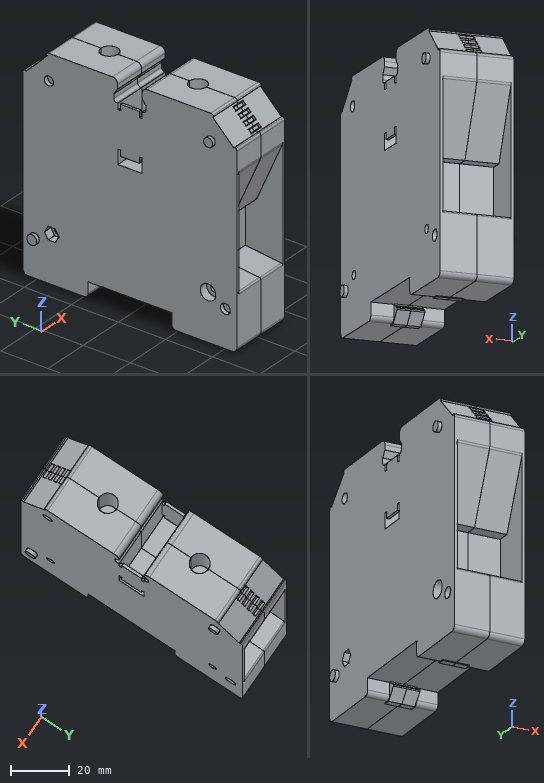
import cadquery as cq
import math


LENGTH = 91.0
HALF_LENGTH = LENGTH / 2
HEIGHT = 90.45
HALF_WIDTH = 13.6
FOOT_Z = 0.4
FOOT_RADIUS = 2.0

SHOULDER_LEG = 11.6
LIP_RISE = 0.7
LIP_LEG = SHOULDER_LEG - LIP_RISE * math.sqrt(2)
LIP_END = 9.7
LIP_RADIUS = 1.5

SLOT_COUNT = 4
SLOT_PITCH = 3.1
SLOT_MOUTH = 1.8
SLOT_FLOOR = 1.3
SLOT_LENGTH = 5.55
SLOT_DEPTH = 1.1

NECK_HALF = 5.2
NECK_BOTTOM_Z = 86.4
NECK_RADIUS = 2.2
BULB_HALF = 6.8
BULB_TOP_Z = 84.0
BULB_RADIUS = 1.3
GROOVE_Z = 80.9

SKIN = 1.1
WELL_HALF = 5.1
WELL_FLOOR_Z = 57.0
TONGUE_HALF = 4.0
TONGUE_BOTTOM_Z = 60.5
RELIEF_HEIGHT = 2.5

RAIL_HALF = 17.7
RAIL_Z = 6.7
RAIL_CORNER_RADIUS = 1.8
CLIP_WIDTH = 10.2
CLIP_NECK_Y = 17.0
CLIP_NECK_Z = 6.2
CLIP_TIP_Y = 14.9
CLIP_TIP_Z = 4.8
CLIP_TIP_BOTTOM_Z = 4.3
CLIP_SHOULDER_Y = 15.4
CLIP_SHOULDER_Z = 5.4
CLIP_TOE_Y = 18.5
CLIP_HEEL_Y = 21.0

ENTRY_HALF_WIDTH = 12.5
ENTRY_DEPTH = 15.9
ENTRY_ROOF_DEPTH = 11.1
ENTRY_TOP_Z = 70.5
ENTRY_BACK_TOP_Z = 45.1
ENTRY_BACK_BOTTOM_Z = 25.4
ENTRY_BOTTOM_Z = 23.6
ENTRY_TOP_RADIUS = 2.2
ENTRY_BOTTOM_RADIUS = 0.6

SHAFT_Y = 18.8
SHAFT_RADIUS = 3.55
SHAFT_DEPTH = 18.2

BOLT_Y = 33.2
BOLT_Z = 20.0
BOLT_RADIUS = 1.55
BOLT_HEAD_RADIUS = 3.3
NUT_ACROSS_FLATS = 5.3
BOLT_RECESS_DEPTH = 3.6

UPPER_PEG_RADIUS = 1.9
LOWER_PEG_RADIUS = 2.1
PEG_LENGTH = 1.5
SOCKET_DEPTH = 1.8
UPPER_PEG_Y = 34.4
UPPER_PEG_Z = 79.6
LOWER_PEG_Y = 40.6
LOWER_PEG_Z = 16.0
LEFT_PEGS = [
    (UPPER_PEG_RADIUS, -UPPER_PEG_Y, UPPER_PEG_Z),
    (LOWER_PEG_RADIUS, LOWER_PEG_Y, LOWER_PEG_Z),
]
RIGHT_PEGS = [
    (UPPER_PEG_RADIUS, UPPER_PEG_Y, UPPER_PEG_Z),
    (LOWER_PEG_RADIUS, -LOWER_PEG_Y, LOWER_PEG_Z),
]


def block(x_range, y_range, z_range):
    """Box between the given limits."""
    (x0, x1), (y0, y1), (z0, z1) = x_range, y_range, z_range
    return cq.Workplane("XY").box(x1 - x0, y1 - y0, z1 - z0, centered=False).translate((x0, y0, z0))


def across(outline, half_width):
    """Close an outline and extrude it to the same distance on both sides of X = 0."""
    return outline.close().extrude(half_width, both=True)


def cylinder_x(radius, x_start, length, y, z):
    """Cylinder along +X."""
    return cq.Workplane("YZ", origin=(x_start, y, z)).circle(radius).extrude(length)


def both_ends(solid):
    """The solid together with its mirror image about Y = 0."""
    return solid.union(solid.mirror("XZ"))


def cross_edges(y_limit, z):
    """Selector for the edges along X at height z whose middle is within y_limit of Y = 0."""
    near = 0.1
    return cq.selectors.BoxSelector(
        (-near, -y_limit - near, z - near), (near, y_limit + near, z + near)
    )


def outer_block():
    """Full-width slab with rounded feet and bevelled upper corners, bevelled to the lip tops."""
    outline = (
        cq.Workplane("YZ")
        .moveTo(-HALF_LENGTH, FOOT_Z)
        .lineTo(HALF_LENGTH, FOOT_Z)
        .lineTo(HALF_LENGTH, HEIGHT - LIP_LEG)
        .lineTo(HALF_LENGTH - LIP_LEG, HEIGHT)
        .lineTo(LIP_LEG - HALF_LENGTH, HEIGHT)
        .lineTo(-HALF_LENGTH, HEIGHT - LIP_LEG)
    )
    solid = across(outline, HALF_WIDTH)
    for y_limit, z, radius in (
        (HALF_LENGTH, FOOT_Z, FOOT_RADIUS),
        (HALF_LENGTH, HEIGHT - LIP_LEG, LIP_RADIUS),
        (HALF_LENGTH - LIP_LEG, HEIGHT, LIP_RADIUS),
    ):
        solid = solid.edges("|X").edges(cross_edges(y_limit, z)).fillet(radius)
    return solid


def shoulder_section():
    """Workplane across the +Y shoulder: local x up the slope, local y into the block."""
    middle = SHOULDER_LEG / 2
    origin = (0, HALF_LENGTH - middle, HEIGHT - middle)
    return cq.Workplane(cq.Plane(origin=origin, xDir=(0, -1, 1), normal=(1, 0, 0)))


def shoulder_recesses():
    """Material removed between the lips of both shoulders, with the slots below it."""
    face_length = (2 * LIP_END - LIP_LEG) * math.sqrt(2)
    clearance = 2 * LIP_RISE
    removed = shoulder_section().center(0, -clearance / 2).rect(face_length, clearance)
    removed = removed.extrude(HALF_WIDTH, both=True)
    for index in range(SLOT_COUNT):
        middle = (index - (SLOT_COUNT - 1) / 2) * SLOT_PITCH
        slot = (
            shoulder_section()
            .moveTo(middle - SLOT_MOUTH / 2, 0)
            .lineTo(middle + SLOT_MOUTH / 2, 0)
            .lineTo(middle + SLOT_FLOOR / 2, SLOT_DEPTH)
            .lineTo(middle - SLOT_FLOOR / 2, SLOT_DEPTH)
        )
        removed = removed.union(across(slot, SLOT_LENGTH / 2))
    return both_ends(removed)


def top_groove():
    """Necked groove across the top, wider at its bulb-shaped base."""
    slope = math.sqrt(0.5)
    neck_bend = NECK_RADIUS * (1 - slope)
    bulb_bend = BULB_RADIUS * (1 - slope)
    half_outline = (
        cq.Workplane("YZ")
        .moveTo(0, HEIGHT)
        .lineTo(NECK_HALF + NECK_RADIUS, HEIGHT)
        .threePointArc((NECK_HALF + neck_bend, HEIGHT - neck_bend), (NECK_HALF, HEIGHT - NECK_RADIUS))
        .lineTo(NECK_HALF, NECK_BOTTOM_Z)
        .lineTo(BULB_HALF, BULB_TOP_Z)
        .lineTo(BULB_HALF, GROOVE_Z + BULB_RADIUS)
        .threePointArc(
            (BULB_HALF - bulb_bend, GROOVE_Z + bulb_bend), (BULB_HALF - BULB_RADIUS, GROOVE_Z)
        )
        .lineTo(0, GROOVE_Z)
    )
    return both_ends(across(half_outline, HALF_WIDTH))


def well():
    """Well under the groove, with the side openings that leave a tongue in each skin."""
    full_x = (-HALF_WIDTH, HALF_WIDTH)
    inner_x = (SKIN - HALF_WIDTH, HALF_WIDTH - SKIN)
    full_y = (-WELL_HALF, WELL_HALF)
    relief_y = (TONGUE_HALF, WELL_HALF)
    chamber = block(inner_x, full_y, (WELL_FLOOR_Z, GROOVE_Z))
    window = block(full_x, full_y, (WELL_FLOOR_Z, TONGUE_BOTTOM_Z))
    upper_relief = block(full_x, relief_y, (GROOVE_Z - RELIEF_HEIGHT, GROOVE_Z))
    lower_relief = block(full_x, relief_y, (TONGUE_BOTTOM_Z, TONGUE_BOTTOM_Z + RELIEF_HEIGHT))
    return chamber.union(window).union(both_ends(upper_relief.union(lower_relief)))


def rail_clips():
    """Two hooks in the middle of the width that grip the rail."""
    hook = (
        cq.Workplane("YZ")
        .moveTo(CLIP_HEEL_Y, 0)
        .lineTo(CLIP_TOE_Y, 0)
        .lineTo(CLIP_TIP_Y, CLIP_TIP_BOTTOM_Z)
        .lineTo(CLIP_TIP_Y, CLIP_TIP_Z)
        .lineTo(CLIP_SHOULDER_Y, CLIP_SHOULDER_Z)
        .lineTo(CLIP_NECK_Y, CLIP_NECK_Z)
        .lineTo(CLIP_NECK_Y, RAIL_Z)
        .lineTo(CLIP_HEEL_Y, RAIL_Z)
    )
    return both_ends(across(hook, CLIP_WIDTH / 2))


def wire_entries():
    """Funnel in each end: roof that slopes and then levels off, upright back and gently falling floor."""
    back_y = HALF_LENGTH - ENTRY_DEPTH
    funnel = (
        cq.Workplane("YZ")
        .moveTo(HALF_LENGTH, ENTRY_TOP_Z)
        .lineTo(HALF_LENGTH - ENTRY_ROOF_DEPTH, ENTRY_BACK_TOP_Z)
        .lineTo(back_y, ENTRY_BACK_TOP_Z)
        .lineTo(back_y, ENTRY_BACK_BOTTOM_Z)
        .lineTo(HALF_LENGTH, ENTRY_BOTTOM_Z)
    )
    return both_ends(across(funnel, ENTRY_HALF_WIDTH))


def screw_shafts():
    return (
        cq.Workplane("XY", origin=(0, 0, HEIGHT))
        .pushPoints([(0, SHAFT_Y), (0, -SHAFT_Y)])
        .circle(SHAFT_RADIUS)
        .extrude(-SHAFT_DEPTH)
    )


def bolt_holes():
    """Two through holes, one with a hexagonal and one with a round recess on the -X face."""
    outer_x = -HALF_WIDTH
    head = cylinder_x(BOLT_HEAD_RADIUS, outer_x, BOLT_RECESS_DEPTH, -BOLT_Y, BOLT_Z)
    across_corners = NUT_ACROSS_FLATS / math.cos(math.pi / 6)
    nut = (
        cq.Workplane("YZ", origin=(outer_x, BOLT_Y, BOLT_Z))
        .polygon(6, across_corners)
        .extrude(BOLT_RECESS_DEPTH)
    )
    bore = cylinder_x(BOLT_RADIUS, outer_x, 2 * HALF_WIDTH, BOLT_Y, BOLT_Z)
    return both_ends(bore).union(head).union(nut)


def housing():
    """Both shells as one piece, before the split and without pegs and sockets."""
    solid = outer_block().cut(wire_entries())
    solid = solid.edges(cross_edges(HALF_LENGTH, ENTRY_TOP_Z)).fillet(ENTRY_TOP_RADIUS)
    solid = solid.edges(cross_edges(HALF_LENGTH, ENTRY_BOTTOM_Z)).fillet(ENTRY_BOTTOM_RADIUS)
    solid = solid.cut(block((-HALF_WIDTH, HALF_WIDTH), (-RAIL_HALF, RAIL_HALF), (FOOT_Z, RAIL_Z)))
    solid = solid.edges("|X").edges(cross_edges(RAIL_HALF, FOOT_Z)).fillet(RAIL_CORNER_RADIUS)
    solid = solid.union(rail_clips())
    for removed in (shoulder_recesses(), top_groove(), well(), screw_shafts(), bolt_holes()):
        solid = solid.cut(removed)
    return solid


def left_shell():
    """Shell on the -X side."""
    half = block((-HALF_WIDTH, 0), (-HALF_LENGTH, HALF_LENGTH), (0, HEIGHT))
    shell = housing().intersect(half)
    for radius, y, z in LEFT_PEGS:
        shell = shell.union(cylinder_x(radius, -HALF_WIDTH - PEG_LENGTH, PEG_LENGTH, y, z))
    for radius, y, z in RIGHT_PEGS:
        shell = shell.cut(cylinder_x(radius, -HALF_WIDTH, SOCKET_DEPTH, y, z))
    return shell


def right_shell():
    """Shell on the +X side; its pegs line up with the sockets of the left shell."""
    half = block((0, HALF_WIDTH), (-HALF_LENGTH, HALF_LENGTH), (0, HEIGHT))
    shell = housing().intersect(half)
    for radius, y, z in RIGHT_PEGS:
        shell = shell.union(cylinder_x(radius, HALF_WIDTH, PEG_LENGTH, y, z))
    for radius, y, z in LEFT_PEGS:
        shell = shell.cut(cylinder_x(radius, HALF_WIDTH - SOCKET_DEPTH, SOCKET_DEPTH, y, z))
    return shell


result = cq.Compound.makeCompound([left_shell().val(), right_shell().val()])